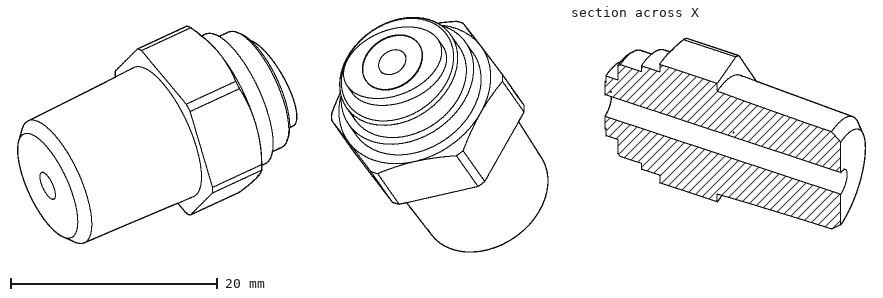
import cadquery as cq
import math

total_length = 25.3

taper_length = 13.23
taper_root_radius = 6.88
taper_tip_radius = 6.5
tip_chamfer = 0.99

hex_sides = 6
across_flats = 15.8
hex_corner_diameter = 17.8
hex_height = 6.2
hex_chamfer_angle = 30.0

collar_radius = 6.9
collar_height = 1.95
sleeve_radius = 6.15
sleeve_height = 2.55
sleeve_chamfer = 0.3

button_half_width = 5.1
button_half_depth = 4.0
lip_radius = 3.1
lip_height = 0.1

bore_diameter = 2.83

hex_end = taper_length + hex_height
collar_end = hex_end + collar_height
sleeve_end = collar_end + sleeve_height
button_end = total_length - lip_height


def revolve_profile(points):
    """Revolve a closed (radius, Y) outline about the Y axis."""
    return cq.Workplane("XY").polyline(points).close().revolve(360, (0, 0, 0), (0, 1, 0))


def plane_at(y):
    """Workplane across the axis at height y, facing +Y."""
    return cq.Workplane("XZ", origin=(0, y, 0)).transformed(rotate=(180, 0, 0))


def tapered_end():
    return revolve_profile([
        (0, 0),
        (taper_tip_radius - tip_chamfer, 0),
        (taper_tip_radius, tip_chamfer),
        (taper_root_radius, taper_length),
        (0, taper_length),
    ])


def hexagon():
    flats_radius = across_flats / 2
    corner_radius = hex_corner_diameter / 2
    chamfer_drop = (corner_radius - flats_radius) * math.tan(math.radians(hex_chamfer_angle))
    sharp_corner_diameter = across_flats / math.cos(math.pi / hex_sides)
    prism = plane_at(taper_length).polygon(hex_sides, sharp_corner_diameter).extrude(hex_height)
    envelope = revolve_profile([
        (0, taper_length),
        (corner_radius, taper_length),
        (corner_radius, hex_end - chamfer_drop),
        (flats_radius, hex_end),
        (0, hex_end),
    ])
    return prism.intersect(envelope)


def round_steps():
    return revolve_profile([
        (0, hex_end),
        (collar_radius, hex_end),
        (collar_radius, collar_end),
        (sleeve_radius, collar_end),
        (sleeve_radius, sleeve_end - sleeve_chamfer),
        (sleeve_radius - sleeve_chamfer, sleeve_end),
        (0, sleeve_end),
    ])


def release_button():
    oval = plane_at(sleeve_end).ellipse(button_half_width, button_half_depth)
    lip = plane_at(button_end).circle(lip_radius).extrude(lip_height)
    return oval.extrude(button_end - sleeve_end).union(lip)


bore = plane_at(0).circle(bore_diameter / 2).extrude(total_length)

body = tapered_end().union(hexagon()).union(round_steps()).union(release_button())
result = body.cut(bore)